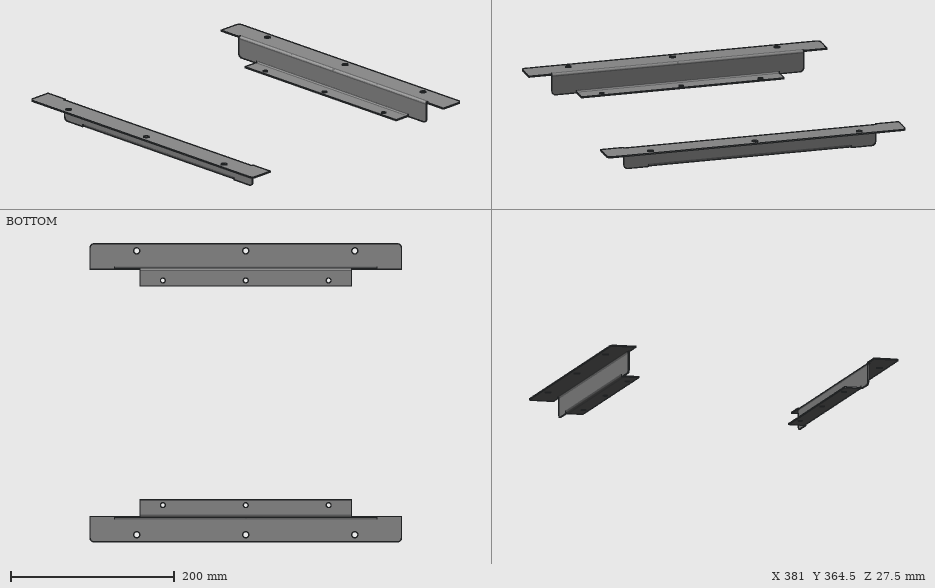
import cadquery as cq

length = 381.0
pair_width = 364.5
height = 27.5

sheet = 1.5
inner_bend = 1.5
outer_bend = inner_bend + sheet
corner_radius = 5.0

flange_width = 31.2
bracket_width = 52.0
web_length = 321.5
lip_length = 259.0
lip_width = bracket_width - flange_width

flange_hole_diameter = 7.2
flange_hole_pitch = 133.5
flange_hole_edge = 8.8
lip_hole_diameter = 5.7
lip_hole_pitch = 101.5
lip_hole_edge = 7.0

outer_edge = -pair_width / 2
web_inner_face = outer_edge + flange_width
web_outer_face = web_inner_face - sheet
inner_edge = outer_edge + bracket_width


def centered_box(x_size, y_start, y_size, z_start, z_size):
    """Box centred on X, with given starts and sizes along Y and Z."""
    return cq.Workplane("XY").box(x_size, y_size, z_size, centered=(True, False, False)).translate(
        (0, y_start, z_start)
    )


def top_flange():
    """Full-length plate with its outer corners rounded."""
    plate = centered_box(length, outer_edge, flange_width, height - sheet, sheet)
    return plate.edges("|Z and <Y").fillet(corner_radius)


def web():
    """Upright plate with its lower corners rounded."""
    plate = centered_box(web_length, web_outer_face, sheet, 0, height)
    return plate.edges("|Y and <Z").fillet(corner_radius)


def bottom_lip():
    """Plate running inward from the foot of the web."""
    return centered_box(lip_length, web_outer_face, lip_width + sheet, 0, sheet)


def bend_parts(bend_length, y_corner, z_corner, y_dir, z_dir):
    """Corner block and the quarter-ring bend inside it; the block corner is where the outer faces meet."""
    block = centered_box(
        bend_length,
        min(y_corner, y_corner + y_dir * outer_bend),
        outer_bend,
        min(z_corner, z_corner + z_dir * outer_bend),
        outer_bend,
    )
    y_axis = y_corner + y_dir * outer_bend
    z_axis = z_corner + z_dir * outer_bend
    ring = (
        cq.Workplane("YZ")
        .center(y_axis, z_axis)
        .circle(outer_bend)
        .circle(inner_bend)
        .extrude(bend_length / 2, both=True)
    )
    return block, block.intersect(ring)


def hole_row(y, diameter, pitch):
    """Three vertical cutters, one on the centre and one on either side."""
    points = [(side * pitch, y) for side in (-1, 0, 1)]
    return cq.Workplane("XY").pushPoints(points).circle(diameter / 2).extrude(height)


def bracket():
    """Z-shaped bracket on the -Y side."""
    body = top_flange().union(web()).union(bottom_lip())

    bends = (
        bend_parts(web_length, web_inner_face, height, -1, -1),
        bend_parts(lip_length, web_outer_face, 0, 1, 1),
    )
    for block, bend in bends:
        body = body.cut(block).union(bend)

    body = body.cut(hole_row(outer_edge + flange_hole_edge, flange_hole_diameter, flange_hole_pitch))
    return body.cut(hole_row(inner_edge - lip_hole_edge, lip_hole_diameter, lip_hole_pitch))


brackets = []
for angle in (0, 180):
    brackets.append(bracket().rotate((0, 0, 0), (0, 0, 1), angle).val())

result = cq.Compound.makeCompound([solid for body in brackets for solid in body.Solids()])